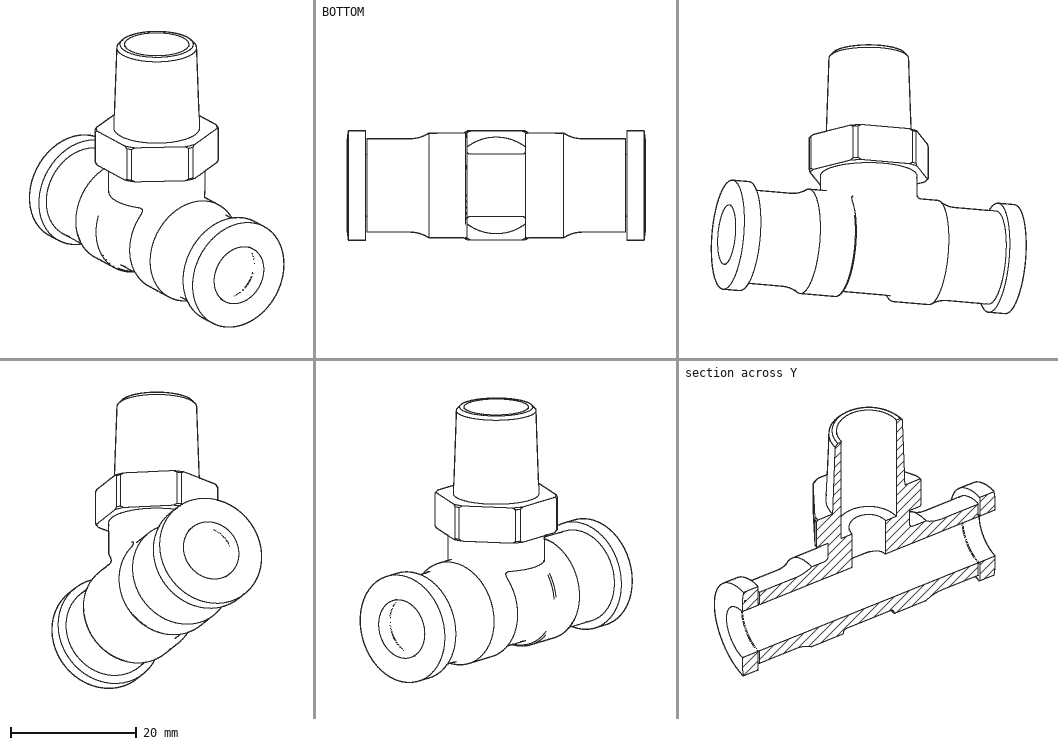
import cadquery as cq
import math

run_half_length = 23.85
bore_radius = 4.75
flange_radius = 8.75
flange_face_radius = 7.4
flange_face_x = 23.65
flange_back_x = 20.9
neck_radius = 4.95
socket_end_x = 20.7
socket_radius = 7.5
flare_start_x = 13.8
body_end_x = 10.78
body_radius = 8.4

riser_radius = 7.72
riser_blend = 0.6
hex_bottom_z = 11.82
hex_top_z = 17.65
hex_across_flats = 17.5
hex_corner_radius = 9.85
hex_chamfer_radius = 9.65
hex_chamfer_height = 0.3
top_z = 31.95
taper_base_radius = 6.85
taper_tip_radius = 6.4
tip_face_radius = 5.85
tip_chamfer_height = 0.55
stem_bore_radius = 5.15
stem_bore_floor_z = hex_bottom_z
passage_radius = 3.15

recess_half_width = 4.65
recess_top_z = 6.65
recess_flat_y = 5.0
core_edge_round = 0.6
recess_fillet = 0.45
recess_rim_round = 0.25

TOLERANCE = 0.0005


def run_solid():
    """Solid run: one half turned about X, then mirrored to the other side."""
    rise = body_radius - socket_radius
    length = flare_start_x - body_end_x
    flare_radius = (length**2 + rise**2) / (2 * rise)
    half_angle = math.asin(length / flare_radius) / 2
    flare_mid = (
        flare_start_x - flare_radius * math.sin(half_angle),
        socket_radius + flare_radius * (1 - math.cos(half_angle)),
    )
    half = (
        cq.Workplane("XY")
        .lineTo(0, body_radius)
        .lineTo(body_end_x, body_radius)
        .threePointArc(flare_mid, (flare_start_x, socket_radius))
        .lineTo(socket_end_x, socket_radius)
        .lineTo(socket_end_x, neck_radius)
        .lineTo(flange_back_x, neck_radius)
        .lineTo(flange_back_x, flange_radius)
        .lineTo(flange_face_x, flange_radius)
        .lineTo(run_half_length, flange_face_radius)
        .lineTo(run_half_length, 0)
        .close()
        .revolve(360, (0, 0, 0), (1, 0, 0))
    )
    return half.union(half.mirror("YZ"))


def blended_body():
    """Run with the round riser joined to it by a small fillet."""
    riser = cq.Workplane("XY").circle(riser_radius).extrude(hex_bottom_z)
    body = run_solid().union(riser, clean=True)
    joint = [edge for edge in body.edges().vals() if edge.geomType() not in ("LINE", "CIRCLE")]
    return body.newObject(joint).fillet(riser_blend)


def wrench_core():
    """Waist left standing in the recess: a flat-sided block with a round underside."""
    corner_z = -math.sqrt(socket_radius**2 - recess_flat_y**2)
    core = (
        cq.Workplane("YZ")
        .moveTo(-recess_flat_y, hex_bottom_z)
        .lineTo(-recess_flat_y, corner_z)
        .threePointArc((0, -socket_radius), (recess_flat_y, corner_z))
        .lineTo(recess_flat_y, hex_bottom_z)
        .close()
        .extrude(body_end_x, both=True)
    )
    bottom_corners = cq.selectors.BoxSelector(
        (-body_end_x, -body_radius, corner_z - TOLERANCE),
        (body_end_x, body_radius, corner_z + TOLERANCE),
    )
    return core.edges("|X").edges(bottom_corners).fillet(core_edge_round)


def wrench_recess():
    """Cutter for the recess, rounded along its roof corners and where it meets the waist."""
    depth = 2 * body_radius
    cutter = (
        cq.Workplane("XY")
        .box(2 * recess_half_width, 2 * depth, depth + recess_top_z, centered=(True, True, False))
        .translate((0, 0, -depth))
        .cut(wrench_core())
    )
    roof_corners = cutter.edges("|Y").edges(">Z").vals()
    waist_outline = []
    for edge in cutter.edges().vals():
        box = edge.BoundingBox()
        on_wall = box.xlen < TOLERANCE and abs(abs(box.xmin) - recess_half_width) < TOLERANCE
        on_roof = box.zlen < TOLERANCE and abs(box.zmin - recess_top_z) < TOLERANCE
        near_waist = max(abs(box.ymin), abs(box.ymax)) < recess_flat_y + TOLERANCE
        if (on_wall or on_roof) and near_waist:
            waist_outline.append(edge)
    return cutter.newObject(roof_corners + waist_outline).fillet(recess_fillet)


def round_recess_rim(body):
    """Round the outer edges where the recess opens through the run, the blend and the riser."""
    rim = []
    for edge in body.edges().vals():
        box = edge.BoundingBox()
        middle = edge.positionAt(0.5)
        within_recess = max(abs(box.xmin), abs(box.xmax)) < recess_half_width + TOLERANCE
        on_run = abs(math.hypot(middle.y, middle.z) - body_radius) < TOLERANCE
        on_riser = abs(math.hypot(middle.x, middle.y) - riser_radius) < TOLERANCE
        on_blend = edge.geomType() == "BSPLINE" and box.xlen < TOLERANCE
        if within_recess and (on_run or on_riser or on_blend):
            rim.append(edge)
    return body.newObject(rim).fillet(recess_rim_round)


def hexagon():
    """Wrench hexagon with turned corners, chamfered at both ends."""
    height = hex_top_z - hex_bottom_z
    corner_diameter = hex_across_flats / math.cos(math.pi / 6)
    prism = cq.Workplane("XY").polygon(6, corner_diameter).extrude(height)
    blank = (
        cq.Workplane("XY")
        .circle(hex_corner_radius)
        .extrude(height)
        .faces("<Z or >Z")
        .edges()
        .chamfer(hex_chamfer_height, hex_corner_radius - hex_chamfer_radius)
    )
    return prism.intersect(blank).translate((0, 0, hex_bottom_z))


def taper_stem():
    """Tapered male end with a chamfered tip."""
    return (
        cq.Workplane("XZ")
        .moveTo(0, hex_top_z)
        .lineTo(taper_base_radius, hex_top_z)
        .lineTo(taper_tip_radius, top_z - tip_chamfer_height)
        .lineTo(tip_face_radius, top_z)
        .lineTo(0, top_z)
        .close()
        .revolve(360, (0, 0, 0), (0, 1, 0))
    )


def bores():
    """Through bore of the run and the stepped passage down the branch."""
    run_bore = cq.Workplane("YZ").circle(bore_radius).extrude(run_half_length, both=True)
    stem_bore = cq.Workplane("XY").workplane(offset=stem_bore_floor_z).circle(stem_bore_radius).extrude(top_z)
    passage = cq.Workplane("XY").circle(passage_radius).extrude(top_z)
    return run_bore.union(stem_bore).union(passage)


body = blended_body().cut(wrench_recess())
body = round_recess_rim(body)
result = body.union(hexagon()).union(taper_stem()).cut(bores())